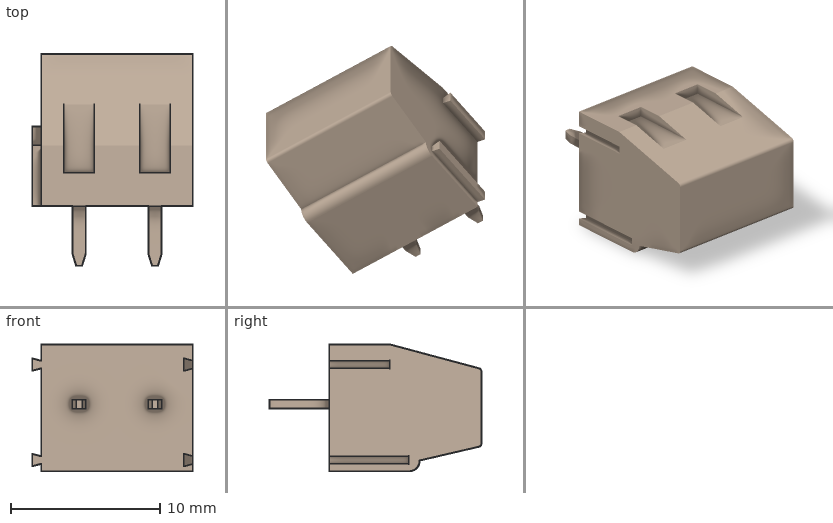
import cadquery as cq
import math


pole_count = 2
pitch = 5.08
body_width = pole_count * pitch
body_height = 8.5
body_depth = 10.2
draft = math.radians(15)
flat_top_depth = 4.07
foot_depth = 6.06
foot_step_height = 0.72
foot_radius = 0.7
rear_bottom_height = 1.68
rear_edge_radius = 0.25

dovetail_reach = 0.61
dovetail_height = 0.85
lower_dovetail_base = 0.33
dovetail_spacing = 6.39
lower_dovetail_length = 5.34
upper_dovetail_length = flat_top_depth

recess_width = 2.03
recess_front = 2.25
recess_back = 6.82
recess_front_depth = 0.7

pin_width = 0.9
pin_thickness = 0.6
pin_length = 4.0
pin_height = 4.5
pin_tip_width = 0.4
pin_taper_length = 0.8


def slope_drop(y):
    """Drop of the sloped top below the flat top at depth y."""
    return (y - flat_top_depth) * math.tan(draft)


def pole_center(index):
    return (index + 0.5) * pitch


def make_body():
    rear_top_height = body_height - slope_drop(body_depth)
    arc_offset = foot_radius * (1 - math.sqrt(0.5))
    body = (
        cq.Workplane("YZ")
        .moveTo(0, 0)
        .lineTo(foot_depth - foot_radius, 0)
        .threePointArc((foot_depth - arc_offset, arc_offset), (foot_depth, foot_radius))
        .lineTo(foot_depth, foot_step_height)
        .lineTo(body_depth, rear_bottom_height)
        .lineTo(body_depth, rear_top_height)
        .lineTo(flat_top_depth, body_height)
        .lineTo(0, body_height)
        .close()
        .extrude(body_width)
    )
    return body.faces(">Y").edges("|X").fillet(rear_edge_radius)


def make_dovetail(root_x, base_z, length):
    """Dovetail prism with its narrow root at root_x, widening toward -X."""
    flare = dovetail_reach * math.tan(draft)
    outer_x = root_x - dovetail_reach
    top_z = base_z + dovetail_height
    outline = [
        (outer_x, base_z),
        (root_x, base_z + flare),
        (root_x, top_z - flare),
        (outer_x, top_z),
    ]
    return cq.Workplane("XZ").polyline(outline).close().extrude(-length)


def make_recess(center_x):
    """Cutter whose floor sinks gently toward the back and runs out on the sloped top."""
    outline = [
        (recess_front, body_height),
        (recess_front, body_height - recess_front_depth),
        (recess_back, body_height - slope_drop(recess_back)),
        (recess_back, body_height),
    ]
    base = cq.Workplane("YZ", origin=(center_x, 0, 0))
    return base.polyline(outline).close().extrude(recess_width / 2, both=True)


def make_pin(center_x):
    """Flat pin with a tapered tip, pointing toward -Y."""
    half_width = pin_width / 2
    half_tip = pin_tip_width / 2
    taper_start = pin_taper_length - pin_length
    outline = [
        (center_x - half_width, 0),
        (center_x - half_width, taper_start),
        (center_x - half_tip, -pin_length),
        (center_x + half_tip, -pin_length),
        (center_x + half_width, taper_start),
        (center_x + half_width, 0),
    ]
    base = cq.Workplane("XY", origin=(0, 0, pin_height - pin_thickness / 2))
    return base.polyline(outline).close().extrude(pin_thickness)


result = make_body()

dovetails = [
    (lower_dovetail_base, lower_dovetail_length),
    (lower_dovetail_base + dovetail_spacing, upper_dovetail_length),
]
for base_z, length in dovetails:
    result = result.union(make_dovetail(0, base_z, length))
    result = result.cut(make_dovetail(body_width, base_z, length))

for pole in range(pole_count):
    result = result.cut(make_recess(pole_center(pole)))
    result = result.union(make_pin(pole_center(pole)))